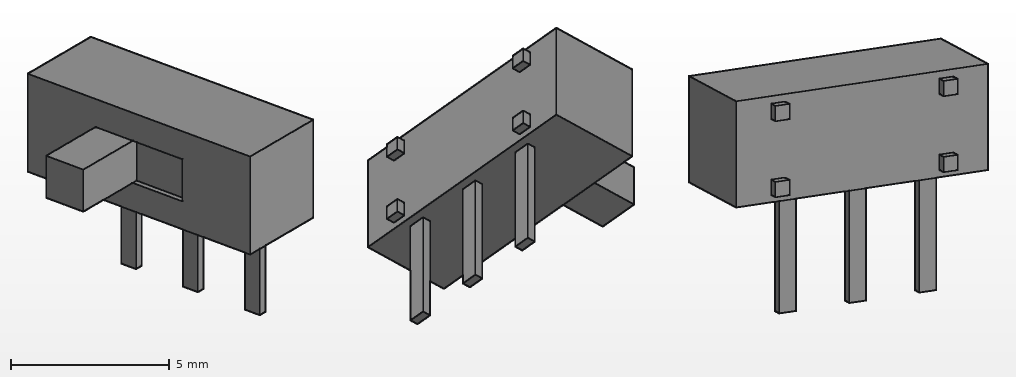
import cadquery as cq

housing_length = 9.0
housing_depth = 3.2
housing_height = 3.5

slot_length = 3.5
slot_height = 1.5
slot_depth = 0.2
slot_center_z = housing_height / 2

slider_length = slot_height
slider_projection = 2.5

pin_count = 3
pin_pitch = 2.5
pin_width = 0.6
pin_thickness = 0.3
pin_length = 3.8
pin_back_inset = 0.3

peg_size = 0.5
peg_projection = 0.3
peg_spacing_x = 6.0
peg_spacing_z = 2.5


def block(size_x, size_y, size_z, center_x, front_y, bottom_z):
    """Box centred on center_x that runs back from front_y and up from bottom_z."""
    box = cq.Workplane("XY").box(size_x, size_y, size_z, centered=(True, False, False))
    return box.translate((center_x, front_y, bottom_z))


def make_housing():
    body = block(housing_length, housing_depth, housing_height, 0, 0, 0)
    slot_bottom = slot_center_z - slot_height / 2
    slot = block(slot_length, slot_depth, slot_height, 0, 0, slot_bottom)
    return body.cut(slot)


def make_slider():
    center_x = (slider_length - slot_length) / 2
    bottom_z = slot_center_z - slot_height / 2
    depth = slider_projection + slot_depth
    return block(slider_length, depth, slot_height, center_x, -slider_projection, bottom_z)


def make_pin(center_x):
    front_y = housing_depth - pin_back_inset - pin_thickness
    return block(pin_width, pin_thickness, pin_length, center_x, front_y, -pin_length)


def make_peg(center_x, center_z):
    bottom_z = center_z - peg_size / 2
    return block(peg_size, peg_projection, peg_size, center_x, housing_depth, bottom_z)


housing = make_housing()
slider = make_slider()

pins = []
for index in range(pin_count):
    pin_x = (index - (pin_count - 1) / 2) * pin_pitch
    pins.append(make_pin(pin_x).val())

pegs = []
for side_x in (-1, 1):
    for side_z in (-1, 1):
        peg_x = side_x * peg_spacing_x / 2
        peg_z = housing_height / 2 + side_z * peg_spacing_z / 2
        pegs.append(make_peg(peg_x, peg_z).val())

result = cq.Compound.makeCompound([housing.val(), slider.val(), *pins, *pegs])